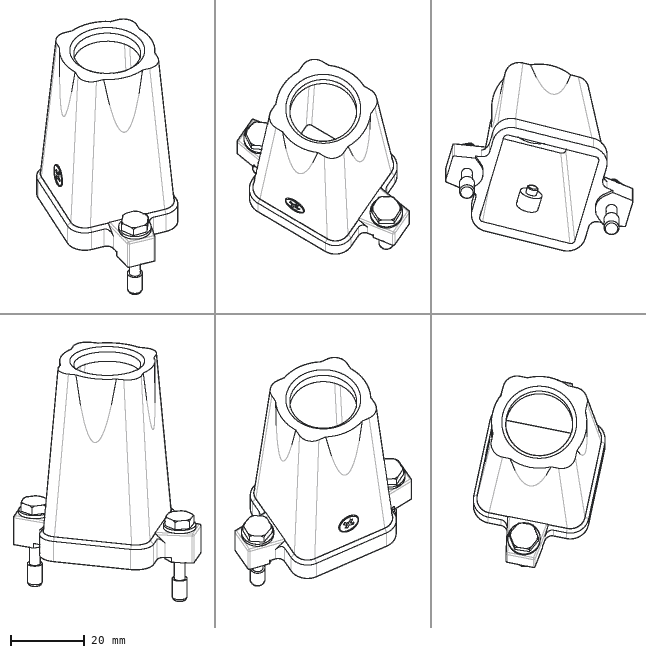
import cadquery as cq
import math


TIP_Z = -14.1
TOP_Z = TIP_Z + 68.15
TOWER_FOOT_HALF = 15.0
TOWER_DRAFT = 4.0
TOWER_FOOT_CORNER = 4.1
TOWER_TOP_CORNER = 3.9
COLLAR_RADIUS = 13.0

BASE_HALF = 16.0
BASE_HEIGHT = 6.95
BASE_CORNER = 5.1
BASE_CHAMFER = 0.95

WALL = 2.05
CAVITY_CORNER = 1.1
ENTRY_RADIUS = 9.1
ENTRY_CHAMFER = 1.1
ENTRY_DEPTH = 3.9

LUG_END_X = 25.5
LUG_END_HALF = 4.0
LUG_TAPER = 9.0
LUG_TOP_Z = 7.1
LUG_FOOT_Z = -1.35
LUG_ROOT_X = 14.3
LUG_EDGE = 0.5
FOOT_STEP_X = 19.4
GUSSET_RADIUS = 2.05

BOLT_X = 20.45
WASHER_RADIUS = 4.4
WASHER_HEIGHT = 0.9
HEX_CORNER_RADIUS = 4.0
HEX_HEIGHT = 2.5
HEX_TURN = 3.0
HEX_BEVEL_WIDTH = 0.35
HEX_BEVEL_HEIGHT = 0.4
SHANK_RADIUS = 1.5
THREAD_RADIUS = 2.05
THREAD_LENGTH = 6.1
TIP_BEVEL_WIDTH = 0.35
TIP_BEVEL_HEIGHT = 0.7

SCREW_Z = 15.05
SCREW_RADIUS = 3.1
SCREW_EDGE = 0.2
SCREW_FACE_Y = -14.5
SCREW_SHOULDER_Y = -8.3
SCREW_TIP_Y = -6.4
SCREW_PIN_RADIUS = 1.5
SCREW_PIN_CHAMFER = 0.3
SLOT_LENGTH = 3.3
SLOT_WIDTH = 0.75
SLOT_DEPTH = 1.0
SLOT_TURN = 30.0

DRAFT_SLOPE = math.tan(math.radians(TOWER_DRAFT))
LUG_SLOPE = math.tan(math.radians(LUG_TAPER))


def tower_half(z):
    """Half width of the drafted tower at a height."""
    return TOWER_FOOT_HALF - (z - BASE_HEIGHT) * DRAFT_SLOPE


def lug_half(x):
    """Half width of a lug at a distance from the middle of the hood."""
    return LUG_END_HALF + (LUG_END_X - x) * LUG_SLOPE


def rounded_square(half, corner):
    return cq.Sketch().rect(2 * half, 2 * half).vertices().fillet(corner)


def drafted_block(z_low, half_low, corner_low, z_high, half_high, corner_high):
    """Rounded square that tapers from a lower to a higher level."""
    low = rounded_square(half_low, corner_low).moved(cq.Location(cq.Vector(0, 0, z_low)))
    high = rounded_square(half_high, corner_high).moved(cq.Location(cq.Vector(0, 0, z_high)))
    return cq.Workplane().placeSketch(low, high).loft(ruled=True)


def make_tower():
    tower = drafted_block(
        BASE_HEIGHT, TOWER_FOOT_HALF, TOWER_FOOT_CORNER,
        TOP_Z, tower_half(TOP_Z), TOWER_TOP_CORNER,
    )
    collar = (
        cq.Workplane().workplane(offset=BASE_HEIGHT)
        .circle(COLLAR_RADIUS).extrude(TOP_Z - BASE_HEIGHT)
    )
    return tower.union(collar)


def make_base():
    return (
        cq.Workplane().placeSketch(rounded_square(BASE_HALF, BASE_CORNER))
        .extrude(BASE_HEIGHT)
        .faces(">Z").chamfer(BASE_CHAMFER)
    )


def make_lug():
    """Lug on the +X side, with its lowered foot around the bolt."""
    block = (
        cq.Workplane()
        .polyline([
            (LUG_ROOT_X, -lug_half(LUG_ROOT_X)),
            (LUG_END_X, -LUG_END_HALF),
            (LUG_END_X, LUG_END_HALF),
            (LUG_ROOT_X, lug_half(LUG_ROOT_X)),
        ])
        .close()
        .extrude(LUG_TOP_Z - LUG_FOOT_Z)
        .translate((0, 0, LUG_FOOT_Z))
        .edges("|Z and >X").fillet(LUG_EDGE)
    )
    block = block.faces(">Z").edges("not <X").fillet(LUG_EDGE)

    step_y = lug_half(FOOT_STEP_X)
    clear_y = 2 * step_y
    reach = BOLT_X - FOOT_STEP_X
    corner_angle = math.atan2(step_y, -reach)
    swing = math.acos(WASHER_RADIUS / math.hypot(reach, step_y))
    tangent_angle = corner_angle + swing
    tangent_x = BOLT_X + WASHER_RADIUS * math.cos(tangent_angle)
    tangent_y = WASHER_RADIUS * math.sin(tangent_angle)
    relief = (
        cq.Workplane().workplane(offset=LUG_FOOT_Z)
        .moveTo(LUG_ROOT_X, -clear_y)
        .lineTo(FOOT_STEP_X, -clear_y)
        .lineTo(FOOT_STEP_X, -step_y)
        .lineTo(tangent_x, -tangent_y)
        .threePointArc((BOLT_X - WASHER_RADIUS, 0), (tangent_x, tangent_y))
        .lineTo(FOOT_STEP_X, step_y)
        .lineTo(FOOT_STEP_X, clear_y)
        .lineTo(LUG_ROOT_X, clear_y)
        .close()
        .extrude(-LUG_FOOT_Z)
    )
    return block.cut(relief)


def make_gusset():
    """Fillet between the +X lug and the base, topped by the base chamfer plane."""
    corner_y = lug_half(BASE_HALF)
    taper = math.radians(LUG_TAPER)
    tangent_length = GUSSET_RADIUS * math.tan((math.pi / 2 - taper) / 2)
    start = (BASE_HALF, corner_y + tangent_length)
    end = (
        BASE_HALF + tangent_length * math.cos(taper),
        corner_y - tangent_length * math.sin(taper),
    )
    centre = (BASE_HALF + GUSSET_RADIUS, start[1])
    middle_angle = math.pi + (math.pi / 2 - taper) / 2
    middle = (
        centre[0] + GUSSET_RADIUS * math.cos(middle_angle),
        centre[1] + GUSSET_RADIUS * math.sin(middle_angle),
    )
    root_x = BASE_HALF - BASE_CHAMFER
    web = (
        cq.Workplane()
        .moveTo(root_x, 0)
        .lineTo(root_x, start[1])
        .lineTo(*start)
        .threePointArc(middle, end)
        .lineTo(end[0], 0)
        .close()
        .extrude(BASE_HEIGHT)
    )
    web = web.union(web.mirror("XZ"))
    drop = end[0] - root_x
    bevelled = (
        cq.Workplane("XZ")
        .polyline([
            (root_x, 0),
            (end[0], 0),
            (end[0], BASE_HEIGHT - drop),
            (root_x, BASE_HEIGHT),
        ])
        .close()
        .extrude(start[1], both=True)
    )
    return web.intersect(bevelled)


def make_bolt(side):
    """Hexagon bolt with its washer, on the side given by the sign."""
    washer_top = LUG_TOP_Z + WASHER_HEIGHT
    head = (
        cq.Workplane().workplane(offset=washer_top)
        .polygon(6, 2 * HEX_CORNER_RADIUS).extrude(HEX_HEIGHT)
        .rotate((0, 0, 0), (0, 0, 1), 30 + side * HEX_TURN)
    )
    bevel = (
        cq.Workplane().workplane(offset=washer_top)
        .circle(HEX_CORNER_RADIUS).extrude(HEX_HEIGHT)
        .faces(">Z").chamfer(HEX_BEVEL_HEIGHT, HEX_BEVEL_WIDTH)
    )
    stem = (
        cq.Workplane("XZ")
        .polyline([
            (0, TIP_Z),
            (THREAD_RADIUS - TIP_BEVEL_WIDTH, TIP_Z),
            (THREAD_RADIUS, TIP_Z + TIP_BEVEL_HEIGHT),
            (THREAD_RADIUS, TIP_Z + THREAD_LENGTH),
            (SHANK_RADIUS, TIP_Z + THREAD_LENGTH),
            (SHANK_RADIUS, LUG_TOP_Z),
            (WASHER_RADIUS, LUG_TOP_Z),
            (WASHER_RADIUS, washer_top),
            (0, washer_top),
        ])
        .close()
        .revolve(360, (0, 0), (0, 1))
    )
    return stem.union(head.intersect(bevel)).translate((side * BOLT_X, 0, 0))


def make_cavity():
    """Inner space: drafted square below, round chamfered entry at the top."""
    ceiling = TOP_Z - ENTRY_DEPTH
    chamber = drafted_block(
        0, tower_half(0) - WALL, CAVITY_CORNER,
        ceiling, tower_half(ceiling) - WALL, CAVITY_CORNER,
    )
    entry = (
        cq.Workplane("XZ")
        .polyline([
            (0, ceiling),
            (ENTRY_RADIUS, ceiling),
            (ENTRY_RADIUS, TOP_Z - ENTRY_CHAMFER),
            (ENTRY_RADIUS + ENTRY_CHAMFER, TOP_Z),
            (0, TOP_Z),
        ])
        .close()
        .revolve(360, (0, 0), (0, 1))
    )
    return chamber.union(entry)


def front_cylinder(radius, y_front, y_back):
    """Cylinder on the screw axis, running along Y."""
    return (
        cq.Workplane("XZ", origin=(0, y_front, SCREW_Z))
        .circle(radius).extrude(y_front - y_back)
    )


def make_hood():
    hood = make_tower().union(make_base())
    lug = make_lug().union(make_gusset())
    hood = hood.union(lug).union(lug.mirror("YZ"))
    for side in (-1, 1):
        hood = hood.union(make_bolt(side))
    screw_hole = front_cylinder(SCREW_RADIUS, -BASE_HALF, SCREW_SHOULDER_Y)
    return hood.cut(make_cavity()).cut(screw_hole)


def make_screw():
    head = (
        front_cylinder(SCREW_RADIUS, SCREW_FACE_Y, SCREW_SHOULDER_Y)
        .faces("<Y").chamfer(SCREW_EDGE)
    )
    pin = (
        front_cylinder(SCREW_PIN_RADIUS, SCREW_SHOULDER_Y, SCREW_TIP_Y)
        .faces(">Y").chamfer(SCREW_PIN_CHAMFER)
    )
    screw = head.union(pin)
    for turn in (0, 90):
        slot = (
            cq.Workplane("XZ", origin=(0, SCREW_FACE_Y, SCREW_Z))
            .transformed(rotate=(0, 0, turn - SLOT_TURN))
            .rect(SLOT_LENGTH, SLOT_WIDTH).extrude(-SLOT_DEPTH)
        )
        screw = screw.cut(slot)
    return screw


hood = make_hood()
screw = make_screw()

result = cq.Compound.makeCompound([hood.solids().val(), screw.solids().val()])